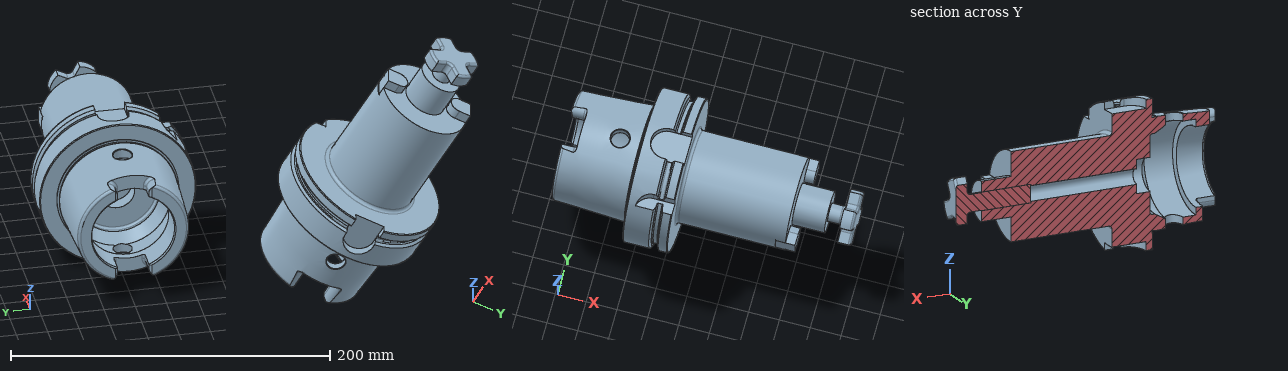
import cadquery as cq
import math


shank_mouth_dia = 70.9
taper_slope = 0.05
taper_end_x = 47.8
lip_round = 1.7

flange_dia = 100.0
flange_x = 49.9
flange_end_x = 79.0
flange_chamfer = 0.5
relief_x = 48.4
relief_end_x = 49.1
relief_dia = 75.2
face_recess_dia = 77.9
face_recess_inner_dia = 74.5
face_recess_depth = 0.5
gripper_groove_x = 70.02
gripper_groove_mouth = 6.2
gripper_groove_width = 4.0
gripper_groove_shoulder_dia = 96.0
gripper_groove_floor_dia = 91.9
gripper_groove_fillet = 0.8

body_dia = 60.0
body_end_x = 150.0
body_fillet = 2.0
pilot_dia = 27.0
pilot_end_x = 171.0

bore_dia = 53.0
mouth_chamfer_length = 1.5
mouth_chamfer_height = 0.5
clamp_groove_dia = 63.0
clamp_groove_x = 19.8
clamp_groove_end_x = 40.0
clamp_groove_runout = 8.7
cavity_floor_x = 52.0
cavity_fillet = 1.5
tube_socket_dia = 22.3
tube_socket_depth = 9.5
coolant_dia = 10.0
cross_hole_dia = 12.0
cross_hole_x = 35.0
cross_hole_chamfer = 0.4

drive_slot_width = 20.0
top_slot_depth = 10.0
bottom_slot_depth = 15.0
drive_slot_straight_z = 27.5
drive_slot_flare = 5.0
drive_slot_floor_fillet = 1.7
drive_slot_chamfer_width = 1.7
drive_slot_chamfer_depth = 1.1

keyway_width = 20.0
keyway_floor_z = 44.0
keyway_center_x = 65.0
notch_wall = 31.4

key_width = 12.1
key_x = 143.6
key_end_x = 156.3
key_inner_y = 15.5
key_outer_y = 29.3

screw_dia = 12.0
screw_x = 136.0
head_x = 180.7
head_end_x = 189.0
head_dia = 35.0
head_arm_width = 12.1
head_arm_angle = 27.0
head_corner_round = 3.0
head_end_round = 1.5
neck_fillet = 2.0

flange_r = flange_dia / 2
overshoot = 1.9


def turned(outline):
    """Revolve a closed (x, radius) outline about the X axis."""
    return outline.close().revolve(360, (0, 0, 0), (1, 0, 0))


def bar(diameter, x_start, x_end):
    """Round bar along X."""
    return cq.Workplane("YZ", origin=(x_start, 0, 0)).circle(diameter / 2).extrude(x_end - x_start)


def holder_blank():
    mouth_r = shank_mouth_dia / 2
    taper_end_r = mouth_r + taper_slope * taper_end_x
    body_r = body_dia / 2
    pilot_r = pilot_dia / 2
    recess_x = flange_x + face_recess_depth
    lip_corner_r = mouth_r - lip_round
    lip_mid = lip_round * (1 - math.sqrt(0.5))
    fillet_mid = body_fillet * (1 - math.sqrt(0.5))
    outline = (
        cq.Workplane("XY")
        .moveTo(0, 0)
        .lineTo(0, lip_corner_r)
        .threePointArc((lip_mid, mouth_r - lip_mid), (lip_round, mouth_r + taper_slope * lip_round))
        .lineTo(taper_end_x, taper_end_r)
        .lineTo(relief_x, relief_dia / 2)
        .lineTo(relief_end_x, relief_dia / 2)
        .lineTo(recess_x, face_recess_inner_dia / 2)
        .lineTo(recess_x, face_recess_dia / 2)
        .lineTo(flange_x, face_recess_dia / 2)
        .lineTo(flange_x, flange_r - flange_chamfer)
        .lineTo(flange_x + flange_chamfer, flange_r)
        .lineTo(flange_end_x - flange_chamfer, flange_r)
        .lineTo(flange_end_x, flange_r - flange_chamfer)
        .lineTo(flange_end_x, body_r + body_fillet)
        .threePointArc(
            (flange_end_x + fillet_mid, body_r + fillet_mid),
            (flange_end_x + body_fillet, body_r),
        )
        .lineTo(body_end_x, body_r)
        .lineTo(body_end_x, pilot_r)
        .lineTo(pilot_end_x, pilot_r)
        .lineTo(pilot_end_x, 0)
    )
    return turned(outline)


def gripper_groove():
    """V-shaped groove round the flange, with a straight-sided bottom."""
    half_mouth = gripper_groove_mouth / 2
    half_width = gripper_groove_width / 2
    shoulder_r = gripper_groove_shoulder_dia / 2
    floor_r = gripper_groove_floor_dia / 2
    outline = cq.Workplane("XY").polyline([
        (gripper_groove_x - half_mouth, flange_r + overshoot),
        (gripper_groove_x - half_mouth, flange_r),
        (gripper_groove_x - half_width, shoulder_r),
        (gripper_groove_x - half_width, floor_r),
        (gripper_groove_x + half_width, floor_r),
        (gripper_groove_x + half_width, shoulder_r),
        (gripper_groove_x + half_mouth, flange_r),
        (gripper_groove_x + half_mouth, flange_r + overshoot),
    ])
    floor_edges = cq.selectors.RadiusNthSelector(0)
    return turned(outline).edges(floor_edges).fillet(gripper_groove_fillet)


def shank_cavity():
    """Mouth bore, clamping groove, floor, coolant tube socket and coolant bore."""
    bore_r = bore_dia / 2
    groove_r = clamp_groove_dia / 2
    fillet_mid = cavity_fillet * (1 - math.sqrt(0.5))
    outline = (
        cq.Workplane("XY")
        .moveTo(0, 0)
        .lineTo(0, bore_r + mouth_chamfer_height)
        .lineTo(mouth_chamfer_length, bore_r)
        .lineTo(clamp_groove_x, bore_r)
        .lineTo(clamp_groove_x, groove_r)
        .lineTo(clamp_groove_end_x, groove_r)
        .lineTo(clamp_groove_end_x + clamp_groove_runout, bore_r)
        .lineTo(cavity_floor_x - cavity_fillet, bore_r)
        .threePointArc(
            (cavity_floor_x - fillet_mid, bore_r - fillet_mid),
            (cavity_floor_x, bore_r - cavity_fillet),
        )
        .lineTo(cavity_floor_x, 0)
    )
    socket = bar(tube_socket_dia, cavity_floor_x, cavity_floor_x + tube_socket_depth)
    coolant_bore = bar(coolant_dia, cavity_floor_x, screw_x)
    return turned(outline).union(socket).union(coolant_bore)


def with_cross_hole(holder):
    """Drill the hole along Z through both shank walls and chamfer its outer rims."""
    hole = cq.Workplane("XY", origin=(cross_hole_x, 0, 0)).circle(cross_hole_dia / 2)
    drilled = holder.cut(hole.extrude(flange_r, both=True))
    reach = cross_hole_dia / 2 + 0.2
    inner_z = (clamp_groove_dia / 2 + shank_mouth_dia / 2) / 2
    rims = [
        cq.selectors.BoxSelector(
            (cross_hole_x - reach, -reach, side * inner_z),
            (cross_hole_x + reach, reach, side * flange_r),
            boundingbox=True,
        )
        for side in (1, -1)
    ]
    return drilled.edges(rims[0] + rims[1]).chamfer(cross_hole_chamfer)


def drive_slot(depth):
    """Slot across the +Z side of the shank mouth; its walls flare out in a round at the top."""
    half = drive_slot_width / 2
    flare_mid_y = half + drive_slot_flare * (1 - math.sqrt(0.5))
    flare_mid_z = drive_slot_straight_z + drive_slot_flare * math.sqrt(0.5)
    flare_end_y = half + drive_slot_flare
    flare_end_z = drive_slot_straight_z + drive_slot_flare
    slot = (
        cq.Workplane("YZ", origin=(-overshoot, 0, 0))
        .moveTo(-half, 0)
        .lineTo(-half, drive_slot_straight_z)
        .threePointArc((-flare_mid_y, flare_mid_z), (-flare_end_y, flare_end_z))
        .lineTo(-flange_r, flare_end_z)
        .lineTo(-flange_r, flange_r)
        .lineTo(flange_r, flange_r)
        .lineTo(flange_r, flare_end_z)
        .lineTo(flare_end_y, flare_end_z)
        .threePointArc((flare_mid_y, flare_mid_z), (half, drive_slot_straight_z))
        .lineTo(half, 0)
        .close()
        .extrude(depth + overshoot)
        .faces(">X")
        .edges()
        .fillet(drive_slot_floor_fillet)
    )
    chamfer = (
        cq.Workplane("XY")
        .polyline([
            (0, -half - drive_slot_chamfer_width),
            (drive_slot_chamfer_depth, -half),
            (drive_slot_chamfer_depth, half),
            (0, half + drive_slot_chamfer_width),
        ])
        .close()
        .extrude(flare_end_z)
    )
    return slot.union(chamfer)


def keyway():
    """Round-ended keyway in the +Z side of the flange, open toward the body."""
    end_x = flange_end_x + overshoot
    floor = cq.Workplane("XY", origin=(0, 0, keyway_floor_z))
    round_end = floor.center(keyway_center_x, 0).circle(keyway_width / 2).extrude(flange_r)
    straight = (
        floor.center((keyway_center_x + end_x) / 2, 0)
        .rect(end_x - keyway_center_x, keyway_width)
        .extrude(flange_r)
    )
    return round_end.union(straight)


def orientation_notch():
    """Corner notch on the -Y, +Z side of the flange, with the same end radius as the keyways."""
    end_r = keyway_width / 2
    end_x = flange_end_x + overshoot
    return (
        cq.Workplane("XY", origin=(0, 0, notch_wall))
        .moveTo(end_x, -notch_wall)
        .lineTo(keyway_center_x, -notch_wall)
        .radiusArc((keyway_center_x - end_r, -notch_wall - end_r), -end_r)
        .lineTo(keyway_center_x - end_r, -flange_r)
        .lineTo(end_x, -flange_r)
        .close()
        .extrude(flange_r)
    )


def key_bar(side, outer_y):
    """Bar along X with a round inner end; side is +1 for +Y and -1 for -Y."""
    half = key_width / 2
    center_y = key_inner_y + half
    return (
        cq.Workplane("YZ", origin=(key_x, 0, 0))
        .moveTo(side * outer_y, -half)
        .lineTo(side * center_y, -half)
        .threePointArc((side * key_inner_y, 0), (side * center_y, half))
        .lineTo(side * outer_y, half)
        .close()
        .extrude(key_end_x - key_x)
    )


def build_holder():
    holder = holder_blank().cut(gripper_groove()).cut(shank_cavity())
    holder = with_cross_hole(holder)
    half_turn = ((0, 0, 0), (1, 0, 0), 180)
    holder = holder.cut(drive_slot(top_slot_depth))
    holder = holder.cut(drive_slot(bottom_slot_depth).rotate(*half_turn))
    holder = holder.cut(keyway()).cut(keyway().rotate(*half_turn))
    holder = holder.cut(orientation_notch())
    for side in (1, -1):
        holder = holder.cut(key_bar(side, body_dia))
    return holder.cut(bar(screw_dia, screw_x, pilot_end_x))


def build_driver_key(side):
    return key_bar(side, key_outer_y)


def build_clamping_screw():
    """Screw with a cross-shaped head whose four arms are rounded at their tips."""
    head_plane = cq.Workplane("YZ", origin=(head_x, 0, 0))
    thickness = head_end_x - head_x
    cross = head_plane.rect(head_dia, head_arm_width).extrude(thickness)
    cross = cross.union(head_plane.rect(head_arm_width, head_dia).extrude(thickness))
    half = head_arm_width / 2
    edge = half + 0.2
    inner_corners = cq.selectors.BoxSelector((head_x - 1.9, -edge, -edge), (head_end_x + 1.9, edge, edge))
    cross = cross.edges("|X").edges(inner_corners).fillet(head_corner_round)
    head = cross.intersect(bar(head_dia, head_x, head_end_x))
    head = head.faces(">X").edges().fillet(head_end_round)
    head = head.rotate((0, 0, 0), (1, 0, 0), head_arm_angle)
    shank_r = screw_dia / 2
    fillet_mid = neck_fillet * (1 - math.sqrt(0.5))
    shank = turned(
        cq.Workplane("XY")
        .moveTo(screw_x, 0)
        .lineTo(screw_x, shank_r)
        .lineTo(head_x - neck_fillet, shank_r)
        .threePointArc(
            (head_x - fillet_mid, shank_r + fillet_mid),
            (head_x, shank_r + neck_fillet),
        )
        .lineTo(head_x, 0)
    )
    return head.union(shank)


holder = build_holder()
driver_keys = [build_driver_key(side) for side in (1, -1)]
clamping_screw = build_clamping_screw()

result = cq.Compound.makeCompound([
    holder.val(),
    *[key.val() for key in driver_keys],
    clamping_screw.val(),
])